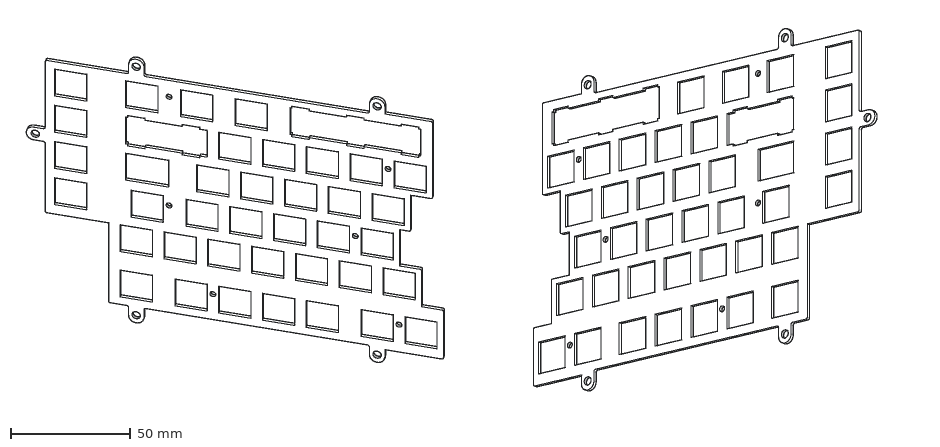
import cadquery as cq

PITCH = 19.05
THICKNESS = 1.6

SWITCH_SIZE = 14.0
STABILIZER_WIDTH = 7.6
STABILIZER_HEIGHT = 15.9
SCREW_HOLE_DIAMETER = 2.5

TAB_RADIUS = 3.35
TAB_REACH = 19.305
TAB_HOLE_INSET = 4.0
TAB_HOLE_DIAMETER = 3.6
TAB_COLUMNS = (1.5, 7)
SIDE_TAB_ROW = 1.5

EDGE_MARGIN = 11.0
RIGHT_MARGIN = 9.795
WIDE_MARGIN = 12.0
BOTTOM_STEP_RISE = 13.8

CORNER_RADIUS = 0.75
NECK_RADIUS = 0.9

BOTTOM_ROW = 5.25
NOTCH_ROW = 3
SWITCH_COLUMNS = {
    0: (0, 1.625, 2.875, 4.125),
    1: (0, 3.75, 4.75, 5.75, 6.75, 7.75),
    2: (0, 3.25, 4.25, 5.25, 6.25, 7.25),
    3: (0, 1.75, 3, 4, 5, 6, 7),
    4: (1.5, 2.5, 3.5, 4.5, 5.5, 6.5, 7.5),
    BOTTOM_ROW: (1.5, 2.75, 3.75, 4.75, 5.75, 7, 8),
}
JOINED_SWITCHES = (
    (0, 5.375, 7.625),
    (1, 1.625, 2.75),
    (2, 1.625, 1.875),
)
STABILIZER_COLUMNS = {
    0: (5.25, 6.5, 7.75),
    1: (1.5, 2.75),
}
SCREW_PLACES = (
    (2.25, -0.125),
    (7.25, 0.875),
    (2.25, 2.875),
    (6.5, 2.875),
    (3.25, 5.125),
    (7.5, 5.125),
)

LEFT_X = -EDGE_MARGIN
TOP_Z = EDGE_MARGIN
BOTTOM_KEY_Z = -BOTTOM_ROW * PITCH
BOTTOM_Z = BOTTOM_KEY_Z - EDGE_MARGIN
NOTCH_X = SWITCH_COLUMNS[BOTTOM_ROW][0] * PITCH - WIDE_MARGIN
NOTCH_Z = -NOTCH_ROW * PITCH - WIDE_MARGIN
WIDE_TOP_Z = WIDE_MARGIN
WIDE_BOTTOM_Z = BOTTOM_KEY_Z - WIDE_MARGIN
WIDE_START_X = TAB_COLUMNS[-1] * PITCH
BOTTOM_STEP_Z = BOTTOM_KEY_Z + BOTTOM_STEP_RISE
SIDE_TAB_Z = -SIDE_TAB_ROW * PITCH


def right_edge(row):
    """X of the plate's right edge beside a row."""
    return SWITCH_COLUMNS[row][-1] * PITCH + RIGHT_MARGIN


def row_boundary(upper_row):
    """Z halfway between a row and the one below it."""
    return -(upper_row + 0.5) * PITCH


def rounded(body, corners, radius):
    """Round the outline corners, given as (x, z) points."""
    for x, z in corners:
        body = body.edges("|Y").edges(cq.selectors.NearestToPointSelector((x, 0, z))).fillet(radius)
    return body


def plate_blank():
    """Plate outline without tabs; its right side steps in and out with the rows."""
    outer_corners = [
        (LEFT_X, TOP_Z),
        (right_edge(1), WIDE_TOP_Z),
        (right_edge(1), row_boundary(1)),
        (right_edge(2), row_boundary(2)),
        (right_edge(4), row_boundary(3)),
        (right_edge(BOTTOM_ROW), BOTTOM_STEP_Z),
        (right_edge(BOTTOM_ROW), WIDE_BOTTOM_Z),
        (NOTCH_X, BOTTOM_Z),
        (LEFT_X, NOTCH_Z),
    ]
    outline = [
        (LEFT_X, TOP_Z),
        (WIDE_START_X, TOP_Z),
        (WIDE_START_X, WIDE_TOP_Z),
        (right_edge(1), WIDE_TOP_Z),
        (right_edge(1), row_boundary(1)),
        (right_edge(2), row_boundary(1)),
        (right_edge(2), row_boundary(2)),
        (right_edge(3), row_boundary(2)),
        (right_edge(3), row_boundary(3)),
        (right_edge(4), row_boundary(3)),
        (right_edge(4), BOTTOM_STEP_Z),
        (right_edge(BOTTOM_ROW), BOTTOM_STEP_Z),
        (right_edge(BOTTOM_ROW), WIDE_BOTTOM_Z),
        (WIDE_START_X, WIDE_BOTTOM_Z),
        (WIDE_START_X, BOTTOM_Z),
        (NOTCH_X, BOTTOM_Z),
        (NOTCH_X, NOTCH_Z),
        (LEFT_X, NOTCH_Z),
    ]
    blank = cq.Workplane("XZ").polyline(outline).close().extrude(THICKNESS / 2, both=True)
    return rounded(blank, outer_corners, CORNER_RADIUS)


def tab(root_x, root_z, direction):
    """Tab with its direction in degrees, where 0 points along +X and 90 along +Z."""
    tip_centre = TAB_REACH - TAB_RADIUS
    strip = cq.Workplane("XZ").center(tip_centre / 2, 0).rect(tip_centre, 2 * TAB_RADIUS)
    tip = cq.Workplane("XZ").center(tip_centre, 0).circle(TAB_RADIUS)
    body = strip.extrude(THICKNESS / 2, both=True).union(tip.extrude(THICKNESS / 2, both=True))
    return body.rotate((0, 0, 0), (0, 1, 0), -direction).translate((root_x, 0, root_z))


def add_tabs(plate):
    """Join the tabs to the plate and round their necks, except beside the wider right end."""
    plate = plate.union(tab(0, SIDE_TAB_Z, 180))
    necks = [(LEFT_X, SIDE_TAB_Z + side * TAB_RADIUS) for side in (-1, 1)]
    for column in TAB_COLUMNS:
        x = column * PITCH
        plate = plate.union(tab(x, 0, 90))
        plate = plate.union(tab(x, BOTTOM_KEY_Z, -90))
        neck_sides = (-1,) if x == WIDE_START_X else (-1, 1)
        for side in neck_sides:
            necks.append((x + side * TAB_RADIUS, TOP_Z))
            necks.append((x + side * TAB_RADIUS, BOTTOM_Z))
    return rounded(plate, necks, NECK_RADIUS)


def cut_holes(plate, centres, diameter):
    """Drill round holes through the plate at (x, z) points."""
    holes = cq.Workplane("XZ").pushPoints(centres).circle(diameter / 2)
    return plate.cut(holes.extrude(THICKNESS, both=True))


def opening(row, first_column, last_column, width, height):
    """Rectangular cutter that spans from one key place to another in the same row."""
    middle_x = (first_column + last_column) / 2 * PITCH
    length = (last_column - first_column) * PITCH + width
    return cq.Workplane("XY").box(length, 2 * THICKNESS, height).translate((middle_x, 0, -row * PITCH))


def cut_openings(plate):
    """Cut the switch openings and the stabilizer slots."""
    for row, columns in SWITCH_COLUMNS.items():
        for column in columns:
            plate = plate.cut(opening(row, column, column, SWITCH_SIZE, SWITCH_SIZE))
    for row, first_column, last_column in JOINED_SWITCHES:
        plate = plate.cut(opening(row, first_column, last_column, SWITCH_SIZE, SWITCH_SIZE))
    for row, columns in STABILIZER_COLUMNS.items():
        for column in columns:
            plate = plate.cut(opening(row, column, column, STABILIZER_WIDTH, STABILIZER_HEIGHT))
    return plate


hole_reach = TAB_REACH - TAB_HOLE_INSET
tab_holes = [(-hole_reach, SIDE_TAB_Z)]
for tab_column in TAB_COLUMNS:
    tab_holes.append((tab_column * PITCH, hole_reach))
    tab_holes.append((tab_column * PITCH, BOTTOM_KEY_Z - hole_reach))
screw_holes = [(column * PITCH, -row * PITCH) for column, row in SCREW_PLACES]

result = cut_openings(add_tabs(plate_blank()))
result = cut_holes(result, tab_holes, TAB_HOLE_DIAMETER)
result = cut_holes(result, screw_holes, SCREW_HOLE_DIAMETER)